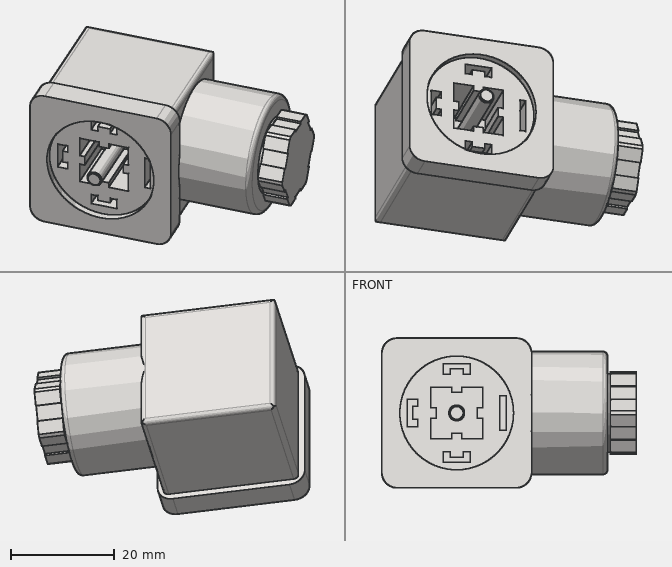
import cadquery as cq
import math


overall_length = 49.2

flange_size = 29.0
flange_thickness = 5.0
flange_corner_radius = 3.0
housing_size = 26.55
housing_length = 23.25
housing_round = 1.0
back_y = flange_thickness + housing_length

outlet_diameter = 23.8
outlet_end_x = 29.2
outlet_round = 1.0
outlet_y = back_y - outlet_diameter / 2
neck_diameter = 15.2
neck_length = 0.55

nut_start_x = outlet_end_x + neck_length
nut_end_x = overall_length - flange_size / 2
nut_length = nut_end_x - nut_start_x
nut_sides = 6
nut_across_flats = 15.9
nut_across_corners = 17.9
nut_groove_width = 3.0
nut_groove_depth = 0.45

recess_diameter = 22.0
recess_depth = 2.0
lip_depth = 1.5
undercut_diameter = 23.6
cavity_depth = 12.3
cavity_size = 10.0
key_width = 1.95
key_height = 1.05

slot_outer = 9.55
slot_width = 5.25
slot_height = 2.05
slot_key_width = 2.5
slot_key_height = 1.05
earth_slot_width = 6.75
earth_slot_thickness = 1.2

screw_diameter = 3.0
screw_projection = 3.55
screw_chamfer = 0.25


def block(x_size, y_start, y_end, z_size, x_middle=0.0):
    """Box centred on Z = 0, spanning y_start to y_end."""
    middle = (x_middle, (y_start + y_end) / 2, 0)
    return cq.Workplane("XY").box(x_size, y_end - y_start, z_size).translate(middle)


def rod_along_x(diameter, x_start, x_end):
    """Cylinder on the outlet axis."""
    plane = cq.Workplane("YZ", origin=(x_start, outlet_y, 0))
    return plane.circle(diameter / 2).extrude(x_end - x_start)


def turned(shape, angle):
    """Shape turned about the socket axis."""
    return shape.rotate((0, 0, 0), (0, 1, 0), angle)


def make_housing():
    flange = block(flange_size, 0, flange_thickness, flange_size)
    flange = flange.edges("|Y").fillet(flange_corner_radius)
    housing = block(housing_size, flange_thickness / 2, back_y, housing_size)
    rounded = housing.edges("|Y").fillet(housing_round)
    rounded = rounded.intersect(housing.edges("|X and >Y").fillet(housing_round))
    rounded = rounded.intersect(housing.edges("|Z and >Y").fillet(housing_round))
    return flange.union(rounded)


def make_outlet():
    barrel = rod_along_x(outlet_diameter, 0, outlet_end_x)
    barrel = barrel.faces(">X").edges().fillet(outlet_round)
    return barrel.union(rod_along_x(neck_diameter, 0, nut_start_x))


def make_nut():
    plane = cq.Workplane("YZ", origin=(nut_start_x, outlet_y, 0))
    corner_diameter = nut_across_flats / math.cos(math.pi / nut_sides)
    hexagon = plane.polygon(nut_sides, corner_diameter).extrude(nut_length)
    trim_diameter = nut_across_corners / math.cos(math.pi / nut_sides)
    half_side = 180 / nut_sides
    trim = plane.transformed(rotate=(0, 0, half_side)).polygon(nut_sides, trim_diameter)
    trim = trim.extrude(nut_length)
    nut = hexagon.intersect(trim)
    groove_middle = nut_across_flats / 2
    groove = plane.center(0, groove_middle).rect(nut_groove_width, 2 * nut_groove_depth)
    groove = groove.extrude(nut_length)
    axis_start = (0, outlet_y, 0)
    axis_end = (1, outlet_y, 0)
    for side in range(nut_sides):
        nut = nut.cut(groove.rotate(axis_start, axis_end, side * 360 / nut_sides))
    return nut


def make_cavity(floor_y):
    cavity = block(cavity_size, recess_depth, floor_y, cavity_size)
    key = block(key_height, recess_depth, floor_y, key_width, (cavity_size - key_height) / 2)
    for angle in (0, 90, 180, 270):
        cavity = cavity.cut(turned(key, angle))
    return cavity


def make_contact_slot(floor_y):
    """U-shaped slot on the -X side, open toward the socket axis."""
    slot_x = -slot_outer + slot_height / 2
    slot = block(slot_height, recess_depth, floor_y, slot_width, slot_x)
    key_x = -slot_outer + slot_height - slot_key_height / 2
    return slot.cut(block(slot_key_height, recess_depth, floor_y, slot_key_width, key_x))


def cut_socket(body):
    floor_y = recess_depth + cavity_depth
    recess = cq.Workplane("XZ").circle(recess_diameter / 2).extrude(-recess_depth)
    undercut_plane = cq.Workplane("XZ", origin=(0, lip_depth, 0))
    undercut = undercut_plane.circle(undercut_diameter / 2).extrude(lip_depth - recess_depth)
    body = body.cut(recess.union(undercut)).cut(make_cavity(floor_y))
    contact_slot = make_contact_slot(floor_y)
    for angle in (-90, 0, 90):
        body = body.cut(turned(contact_slot, angle))
    earth_x = slot_outer - earth_slot_thickness / 2
    earth_slot = block(earth_slot_thickness, recess_depth, floor_y, earth_slot_width, earth_x)
    return body.cut(earth_slot)


def make_screw():
    length = screw_projection + recess_depth + cavity_depth
    plane = cq.Workplane("XZ", origin=(0, -screw_projection, 0))
    screw = plane.circle(screw_diameter / 2).extrude(-length)
    return screw.faces("<Y").edges().chamfer(screw_chamfer)


shell = make_housing().union(make_outlet()).union(make_nut())
result = cut_socket(shell).union(make_screw())